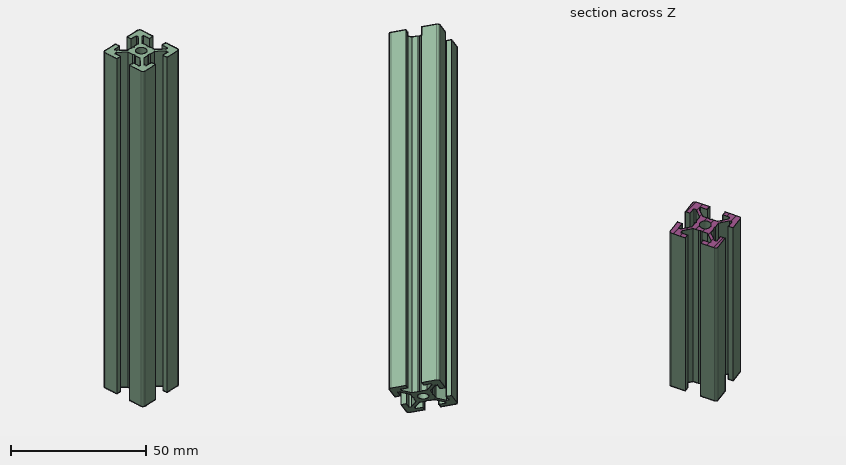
import cadquery as cq
import math

LENGTH = 150.0
WIDTH = 20.0
CORNER_RADIUS = 1.0

SLOT_OPENING = 6.3
LIP_THICKNESS = 2.1
POCKET_WIDTH = 12.0
RIB_THICKNESS = 1.38

CORE_WIDTH = 8.0
BORE_DIAMETER = 4.2
NOTCH_WIDTH = 1.4
NOTCH_DEPTH = 0.3


def slot_cutter():
    """T-slot on the +Y side, with a V-notch in the middle of its floor."""
    half_width = WIDTH / 2
    half_opening = SLOT_OPENING / 2
    half_pocket = POCKET_WIDTH / 2
    lip_inside = half_width - LIP_THICKNESS
    floor = CORE_WIDTH / 2
    rib_offset = RIB_THICKNESS / math.sqrt(2)
    right_side = [
        (NOTCH_WIDTH / 2, floor),
        (floor - rib_offset, floor),
        (half_pocket, half_pocket + rib_offset),
        (half_pocket, lip_inside),
        (half_opening, lip_inside),
        (half_opening, half_width),
    ]
    left_side = [(-x, y) for x, y in reversed(right_side)]
    notch_bottom = (0, floor - NOTCH_DEPTH)
    outline = [notch_bottom] + right_side + left_side
    return cq.Workplane("XY").polyline(outline).close().extrude(LENGTH)


result = cq.Workplane("XY").rect(WIDTH, WIDTH).extrude(LENGTH)
result = result.edges("|Z").fillet(CORNER_RADIUS)

slot = slot_cutter()
for angle in (0, 90, 180, 270):
    result = result.cut(slot.rotate((0, 0, 0), (0, 0, 1), angle))

bore = cq.Workplane("XY").circle(BORE_DIAMETER / 2).extrude(LENGTH)
result = result.cut(bore)